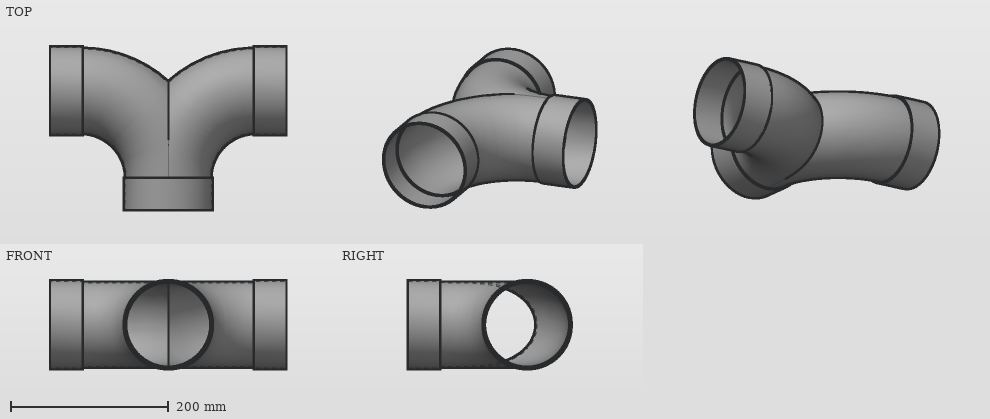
import cadquery as cq

span = 300.0
depth = 208.5
sleeve_outer_dia = 113.7
pipe_outer_dia = 110.0
pipe_bore_dia = 106.5
sleeve_length = 41.7
socket_depth = 41.0

half_span = span / 2
stem_end = sleeve_outer_dia / 2 - depth
bend_start = stem_end + socket_depth
bend_radius = -bend_start


def quarter_bend(diameter, side):
    """Quarter torus from the stem to one branch, ending just inside its socket."""
    profile = cq.Workplane("XZ", origin=(0, bend_start, 0)).circle(diameter / 2)
    axis_x = side * bend_radius
    return profile.revolve(90, (axis_x, 0), (axis_x, -side))


def half_bend(diameter, side):
    """The part of a bend on its own side of the YZ symmetry plane."""
    limits = cq.Workplane("XY").box(half_span, 2 * depth, span)
    limits = limits.translate((side * half_span / 2, 0, 0))
    return quarter_bend(diameter, side).intersect(limits)


def double_bend(diameter):
    """Two bends mirrored about the YZ plane and meeting on it."""
    return half_bend(diameter, -1).union(half_bend(diameter, 1))


def end_cylinders(diameter, length):
    """Straight cylinders reaching inward from the three open ends."""
    radius = diameter / 2
    stem = cq.Workplane("XZ", origin=(0, stem_end, 0)).circle(radius).extrude(-length)
    left = cq.Workplane("YZ", origin=(-half_span, 0, 0)).circle(radius).extrude(length)
    right = cq.Workplane("YZ", origin=(half_span, 0, 0)).circle(radius).extrude(-length)
    return stem.union(left).union(right)


sleeves = end_cylinders(sleeve_outer_dia, sleeve_length)
sockets = end_cylinders(pipe_outer_dia, socket_depth)

outside = double_bend(pipe_outer_dia).union(sleeves)
result = outside.cut(sockets).cut(double_bend(pipe_bore_dia))